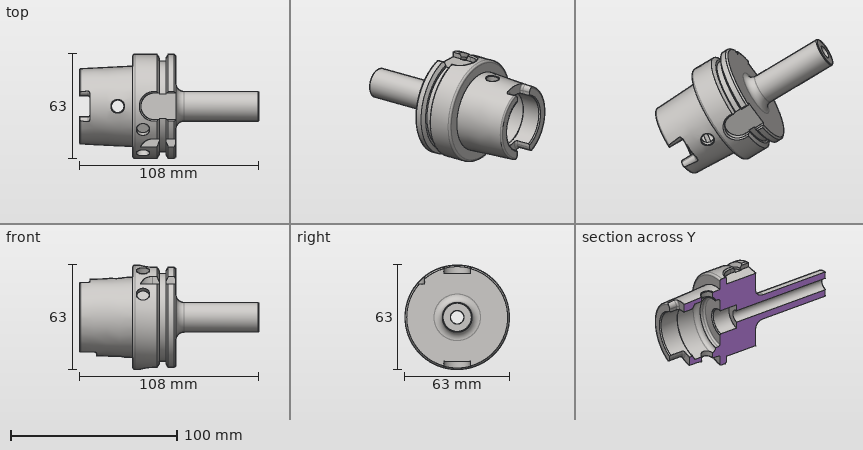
import cadquery as cq
import math


sin_45 = math.sqrt(0.5)
clearance = 1.0

taper_length = 32.0
taper_large_radius = 24.3
taper_slope = 1 / 20
nose_x = -taper_length
nose_radius = taper_large_radius - taper_slope * taper_length
nose_fillet = 1.0

flange_radius = 31.5
flange_width = 26.0
flange_front_fillet = 1.3
flange_back_chamfer = 1.1
groove_centre_x = 18.0
groove_width = 3.8
groove_bottom_radius = 27.5
groove_wall_radius = 28.9
groove_flank_angle = 30.0

overall_length = 108.0
shank_end_x = overall_length - taper_length
shank_radius = 9.0
shank_root_fillet = 5.0
shank_end_chamfer = 0.5

mouth_radius = 17.0
mouth_chamfer = 0.5
mouth_chamfer_run = 0.9
clamp_shoulder_x = -19.5
clamp_radius = 20.0
clamp_shoulder_angle = 60.0
bore_floor_x = 0.0
bore_floor_fillet = 1.2
relief_fillet_x = -6.1
tube_seat_radius = 8.3
tube_seat_chamfer = 0.7
tube_seat_depth = 12.0
through_radius = 4.0

drive_slot_half_width = 6.25
drive_slot_flare_radius = 3.0
drive_slot_shelf_height = 21.0
drive_slot_corner_fillet = 1.25
upper_drive_slot_depth = 6.25
lower_drive_slot_depth = 10.2

access_hole_x = -9.05
access_hole_radius = 3.75
access_hole_edge_chamfer = 0.4

keyway_radius = 8.0
keyway_centre_x = 12.95
keyway_floor_height = 26.5
keyway_edge_chamfer = 1.0

notch_wall_y = -19.65
notch_floor_z = 20.0
notch_end_radius = 8.0
notch_centre_x = 12.0

chip_hole_x = 6.2
chip_hole_radius = 4.0
chip_hole_floor_radius = 27.5
chip_hole_angles = (26.5, 63.5)


def revolve_about_x(profile):
    return profile.close().revolve(360, (0, 0, 0), (1, 0, 0))


def round_ended_slot(centre_x, centre_y, radius, floor_z, height):
    """Slot along X with a round end towards -X, open at the back of the flange."""
    run = flange_width - centre_x
    base = cq.Workplane("XY").workplane(offset=floor_z)
    end = base.center(centre_x, centre_y).circle(radius).extrude(height)
    straight = base.center(centre_x + run / 2, centre_y).rect(run, 2 * radius).extrude(height)
    return end.union(straight)


def flange_with_keyways():
    flange = cq.Workplane("YZ").circle(flange_radius).extrude(flange_width)
    wall_height = flange_radius - keyway_floor_height
    reach = keyway_radius + clearance
    for side in (1, -1):
        floor_z = side * keyway_floor_height
        slot = round_ended_slot(keyway_centre_x, 0, keyway_radius, floor_z, side * wall_height)
        flange = flange.cut(slot)
        rim = cq.selectors.BoxSelector(
            (clearance, -reach, floor_z + side * clearance),
            (flange_width - clearance, reach, side * (flange_radius + clearance)),
        )
        flange = flange.edges(rim).edges("not |Z").chamfer(keyway_edge_chamfer)
    return flange


def groove_cutter():
    half_bottom = groove_width / 2
    outside_radius = flange_radius + clearance
    flank_run = (outside_radius - groove_wall_radius) * math.tan(math.radians(groove_flank_angle))
    half_top = half_bottom + flank_run
    return revolve_about_x(
        cq.Workplane("XY")
        .moveTo(groove_centre_x - half_bottom, groove_bottom_radius)
        .lineTo(groove_centre_x - half_bottom, groove_wall_radius)
        .lineTo(groove_centre_x - half_top, outside_radius)
        .lineTo(groove_centre_x + half_top, outside_radius)
        .lineTo(groove_centre_x + half_bottom, groove_wall_radius)
        .lineTo(groove_centre_x + half_bottom, groove_bottom_radius)
    )


def flange_envelope():
    envelope = cq.Workplane("YZ").circle(flange_radius).extrude(flange_width)
    envelope = envelope.faces("<X").edges().fillet(flange_front_fillet)
    return envelope.faces(">X").edges().chamfer(flange_back_chamfer)


def taper_with_access_hole():
    cone = revolve_about_x(
        cq.Workplane("XY")
        .moveTo(nose_x, 0)
        .lineTo(nose_x, nose_radius)
        .lineTo(0, taper_large_radius)
        .lineTo(0, 0)
    )
    cone = cone.faces("<X").edges().fillet(nose_fillet)
    hole = (
        cq.Workplane("XY")
        .center(access_hole_x, 0)
        .circle(access_hole_radius)
        .extrude(taper_large_radius, both=True)
    )
    hole_region = cq.selectors.BoxSelector(
        (access_hole_x - 2 * access_hole_radius, -taper_large_radius, -taper_large_radius),
        (access_hole_x + 2 * access_hole_radius, taper_large_radius, taper_large_radius),
        boundingbox=True,
    )
    drilled = cone.cut(hole)
    return drilled.edges(hole_region).edges("not |Z").chamfer(access_hole_edge_chamfer)


def shank():
    root_radius = shank_radius + shank_root_fillet
    half_root = shank_root_fillet * sin_45
    root_centre_x = flange_width + shank_root_fillet
    return revolve_about_x(
        cq.Workplane("XY")
        .moveTo(flange_width, 0)
        .lineTo(flange_width, root_radius)
        .threePointArc(
            (root_centre_x - half_root, root_radius - half_root),
            (root_centre_x, shank_radius),
        )
        .lineTo(shank_end_x - shank_end_chamfer, shank_radius)
        .lineTo(shank_end_x, shank_radius - shank_end_chamfer)
        .lineTo(shank_end_x, 0)
    )


def bore_cutter():
    shoulder_run = (clamp_radius - mouth_radius) / math.tan(math.radians(clamp_shoulder_angle))
    relief_fillet = clamp_radius - mouth_radius
    half_relief = relief_fillet * sin_45
    half_fillet = bore_floor_fillet * sin_45
    fillet_x = bore_floor_x - bore_floor_fillet
    fillet_radius = mouth_radius - bore_floor_fillet
    return revolve_about_x(
        cq.Workplane("XY")
        .moveTo(nose_x, 0)
        .lineTo(nose_x, mouth_radius + mouth_chamfer)
        .lineTo(nose_x + mouth_chamfer_run, mouth_radius)
        .lineTo(clamp_shoulder_x, mouth_radius)
        .lineTo(clamp_shoulder_x + shoulder_run, clamp_radius)
        .lineTo(relief_fillet_x, clamp_radius)
        .threePointArc(
            (relief_fillet_x + half_relief, mouth_radius + half_relief),
            (relief_fillet_x + relief_fillet, mouth_radius),
        )
        .lineTo(fillet_x, mouth_radius)
        .threePointArc(
            (fillet_x + half_fillet, fillet_radius + half_fillet),
            (bore_floor_x, fillet_radius),
        )
        .lineTo(bore_floor_x, tube_seat_radius + tube_seat_chamfer)
        .lineTo(bore_floor_x + tube_seat_chamfer, tube_seat_radius)
        .lineTo(bore_floor_x + tube_seat_depth, tube_seat_radius)
        .lineTo(bore_floor_x + tube_seat_depth, through_radius)
        .lineTo(shank_end_x, through_radius)
        .lineTo(shank_end_x, 0)
    )


def drive_slot_cutter(depth):
    """Slot towards +Z whose walls flare outwards in an arc to a flat shelf."""
    wall = drive_slot_half_width
    shelf_start = wall + drive_slot_flare_radius
    flare_bottom = drive_slot_shelf_height - drive_slot_flare_radius
    arc_y = shelf_start - drive_slot_flare_radius * sin_45
    arc_z = flare_bottom + drive_slot_flare_radius * sin_45
    outside = taper_large_radius + clearance
    slot = (
        cq.Workplane("YZ")
        .workplane(offset=nose_x)
        .moveTo(-wall, 0)
        .lineTo(-wall, flare_bottom)
        .threePointArc((-arc_y, arc_z), (-shelf_start, drive_slot_shelf_height))
        .lineTo(-outside, drive_slot_shelf_height)
        .lineTo(-outside, outside)
        .lineTo(outside, outside)
        .lineTo(outside, drive_slot_shelf_height)
        .lineTo(shelf_start, drive_slot_shelf_height)
        .threePointArc((arc_y, arc_z), (wall, flare_bottom))
        .lineTo(wall, 0)
        .close()
        .extrude(depth)
    )
    return slot.faces(">X").edges().fillet(drive_slot_corner_fillet)


def notch_cutter():
    height = flange_radius - notch_floor_z
    centre_y = notch_wall_y - notch_end_radius
    return round_ended_slot(notch_centre_x, centre_y, notch_end_radius, notch_floor_z, height)


def chip_hole_cutter(angle):
    direction = cq.Vector(0, -math.cos(math.radians(angle)), math.sin(math.radians(angle)))
    start = cq.Vector(chip_hole_x, 0, 0) + direction * chip_hole_floor_radius
    depth = flange_radius + clearance - chip_hole_floor_radius
    return cq.Workplane(cq.Solid.makeCylinder(chip_hole_radius, depth, start, direction))


result = flange_with_keyways().intersect(flange_envelope()).cut(groove_cutter())
result = result.cut(notch_cutter())
for chip_angle in chip_hole_angles:
    result = result.cut(chip_hole_cutter(chip_angle))
result = result.union(taper_with_access_hole()).union(shank())
result = result.cut(bore_cutter())
result = result.cut(drive_slot_cutter(upper_drive_slot_depth))
result = result.cut(drive_slot_cutter(lower_drive_slot_depth).rotate((0, 0, 0), (1, 0, 0), 180))